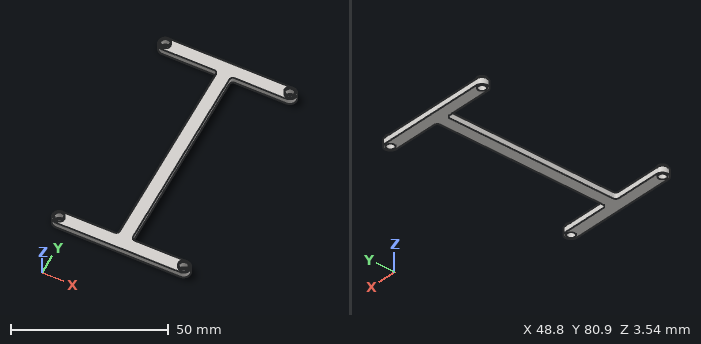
import cadquery as cq

length_x = 48.8
length_y = 80.88
total_height = 3.54

bar_width = 4.8
inner_corner_radius = 1.2

pin_diameter = 3.6
bore_diameter = 3.2
pin_height = 1.0

bar_thickness = total_height - pin_height
pin_spacing_x = length_x - bar_width
pin_spacing_y = length_y - bar_width


def cross_bar(side):
    """Round-ended bar along X; side is -1 or +1 along Y."""
    return (
        cq.Workplane("XY")
        .center(0, side * pin_spacing_y / 2)
        .slot2D(length_x, bar_width)
        .extrude(bar_thickness)
    )


def frame():
    """Two cross bars joined by a central stem, with rounded inner corners."""
    stem = cq.Workplane("XY").rect(bar_width, pin_spacing_y).extrude(bar_thickness)
    body = stem.union(cross_bar(-1)).union(cross_bar(1))

    box_half_x = bar_width
    box_half_y = pin_spacing_y / 2
    inner_corners = cq.selectors.BoxSelector(
        (-box_half_x, -box_half_y, 0),
        (box_half_x, box_half_y, bar_thickness),
    )
    return body.edges("|Z").edges(inner_corners).fillet(inner_corner_radius)


def corner_cylinders(diameter):
    """Full-height cylinders at the four pin centres."""
    return (
        cq.Workplane("XY")
        .rarray(pin_spacing_x, pin_spacing_y, 2, 2)
        .circle(diameter / 2)
        .extrude(total_height)
    )


result = frame().union(corner_cylinders(pin_diameter)).cut(corner_cylinders(bore_diameter))